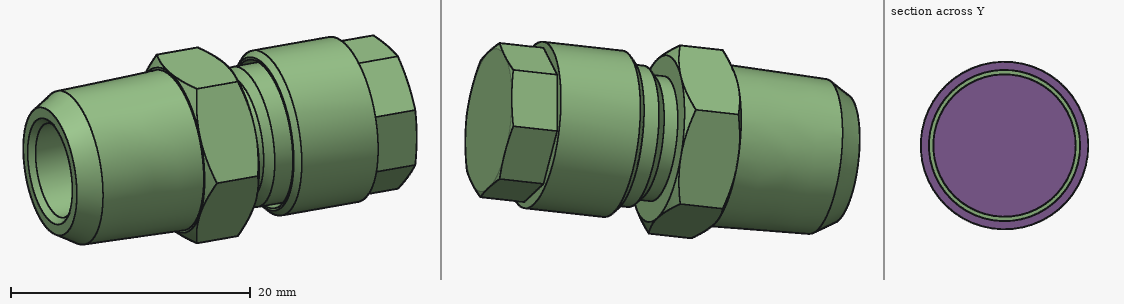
import cadquery as cq
import math

thread_length = 11.0
thread_base_diameter = 13.6
thread_taper = 1 / 16
lead_in_length = 1.9
lead_in_angle = 30.0
bore_diameter = 8.0
bore_mouth_diameter = 9.0
bore_depth = 5.0

hex_across_flats = 14.0
hex_thickness = 5.0
hex_chamfer_angle = 30.0

neck_diameter = 10.5
neck_length = 1.2
collar_diameter = 11.9
collar_length = 1.5
collar_chamfer = (collar_diameter - neck_diameter) / 2

sleeve_diameter = 14.0
sleeve_length = 7.5
sleeve_chamfer = 0.5
sleeve_mouth_diameter = 12.6
sleeve_mouth_depth = 4.0

octagon_across_flats = 12.0
octagon_length = 4.0
octagon_chamfer_angle = 15.0

hex_start = thread_length
hex_end = hex_start + hex_thickness
neck_end = hex_end + neck_length
collar_start = neck_end + collar_chamfer
sleeve_start = collar_start + collar_length
sleeve_end = sleeve_start + sleeve_length
octagon_end = sleeve_end + octagon_length


def revolve_profile(points):
    """Revolve closed (radius, y) points around the Y axis."""
    return cq.Workplane("XY").polyline(points).close().revolve(360, (0, 0), (0, 1))


def polygon_prism(sides, across_flats, start, length, turn=0.0):
    """Prism along +Y with the given number of sides; turn is in degrees."""
    corner_diameter = across_flats / math.cos(math.pi / sides)
    prism = cq.Workplane("XZ").polygon(sides, corner_diameter).extrude(-length)
    return prism.rotate((0, 0, 0), (0, 1, 0), turn).translate((0, start, 0))


def chamfer_drop(sides, across_flats, angle):
    """Corner radius and axial height of a conical chamfer that meets the flats."""
    flat_radius = across_flats / 2
    corner_radius = flat_radius / math.cos(math.pi / sides)
    drop = (corner_radius - flat_radius) * math.tan(math.radians(angle))
    return corner_radius, drop


def make_thread():
    base_radius = thread_base_diameter / 2
    taper_length = thread_length - lead_in_length
    lead_in_radius = base_radius - taper_length * thread_taper / 2
    tip_radius = lead_in_radius - lead_in_length * math.tan(math.radians(lead_in_angle))
    return revolve_profile([
        (0, 0),
        (tip_radius, 0),
        (lead_in_radius, lead_in_length),
        (base_radius, thread_length),
        (0, thread_length),
    ])


def make_hexagon():
    sides = 6
    flat_radius = hex_across_flats / 2
    corner_radius, drop = chamfer_drop(sides, hex_across_flats, hex_chamfer_angle)
    envelope = revolve_profile([
        (0, hex_start),
        (flat_radius, hex_start),
        (corner_radius, hex_start + drop),
        (corner_radius, hex_end - drop),
        (flat_radius, hex_end),
        (0, hex_end),
    ])
    return polygon_prism(sides, hex_across_flats, hex_start, hex_thickness).intersect(envelope)


def make_neck_and_sleeve():
    neck_radius = neck_diameter / 2
    collar_radius = collar_diameter / 2
    sleeve_radius = sleeve_diameter / 2
    mouth_radius = sleeve_mouth_diameter / 2
    mouth_floor = sleeve_start + sleeve_mouth_depth
    return revolve_profile([
        (0, hex_end),
        (neck_radius, hex_end),
        (neck_radius, neck_end),
        (collar_radius, collar_start),
        (collar_radius, mouth_floor),
        (mouth_radius, mouth_floor),
        (mouth_radius, sleeve_start),
        (sleeve_radius - sleeve_chamfer, sleeve_start),
        (sleeve_radius, sleeve_start + sleeve_chamfer),
        (sleeve_radius, sleeve_end),
        (0, sleeve_end),
    ])


def make_octagon():
    sides = 8
    flat_radius = octagon_across_flats / 2
    corner_radius, drop = chamfer_drop(sides, octagon_across_flats, octagon_chamfer_angle)
    envelope = revolve_profile([
        (0, sleeve_end),
        (corner_radius, sleeve_end),
        (corner_radius, octagon_end - drop),
        (flat_radius, octagon_end),
        (0, octagon_end),
    ])
    half_side_turn = 180 / sides
    prism = polygon_prism(sides, octagon_across_flats, sleeve_end, octagon_length, half_side_turn)
    return prism.intersect(envelope)


def make_bore():
    bore_radius = bore_diameter / 2
    mouth_radius = bore_mouth_diameter / 2
    mouth_depth = mouth_radius - bore_radius
    return revolve_profile([
        (0, 0),
        (mouth_radius, 0),
        (bore_radius, mouth_depth),
        (bore_radius, bore_depth),
        (0, bore_depth),
    ])


body = make_thread().union(make_hexagon()).union(make_neck_and_sleeve()).union(make_octagon())
result = body.cut(make_bore())